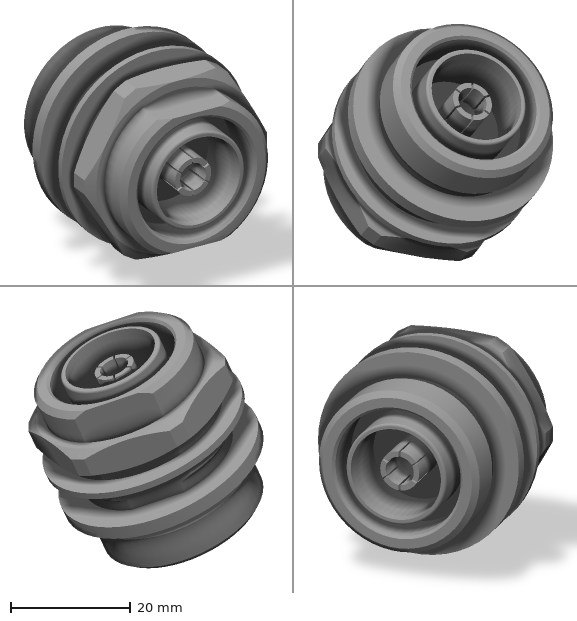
import cadquery as cq
import math


OVERALL_LENGTH = 34.8
TUBE_STICK_OUT = 0.6
SHELL_LENGTH = OVERALL_LENGTH - 2 * TUBE_STICK_OUT
SHELL_FRONT = -SHELL_LENGTH / 2
SHELL_REAR = SHELL_LENGTH / 2

SHELL_RADIUS = 14.4
END_CHAMFER = 1.0
NECK_DEPTH = 0.97
NECK_RADIUS = SHELL_RADIUS - NECK_DEPTH
HEAD_LENGTH = 6.95
NECK_START = SHELL_FRONT + HEAD_LENGTH
FLANGE_RADIUS = 18.0
FLANGE_THICKNESS = 2.45
FLANGE_FRONT = -6.85
FLANGE_REAR = FLANGE_FRONT + FLANGE_THICKNESS
NECK_END = -1.48
FLAT_HEIGHT = 12.55

SOCKET_DEPTH = 7.8
TUBE_BORE_DEPTH = 10.0
SOCKET_RADIUS = 11.25
MOUTH_RADIUS = 11.7
TUBE_RADIUS = 8.95
TUBE_BORE_RADIUS = 8.05
TUBE_ROUNDING = 0.45
PIN_RADIUS = 3.5
PIN_RECESS = 1.8
PIN_BORE_RADIUS = 2.52
PIN_BORE_DEPTH = 5.05
PIN_POINT_RADIUS = 0.15
PIN_CONE_ANGLE = math.radians(59)
SLOT_WIDTH = 0.35
SLOT_COUNT = 6

WASHER_RADIUS = FLANGE_RADIUS
WASHER_THICKNESS = 1.2
WASHER_FRONT = 1.65

NUT_FRONT = 5.4
NUT_THICKNESS = 5.47
NUT_SIDES = 6
NUT_HALF_SECTOR = 180 / NUT_SIDES
NUT_ACROSS_FLATS = 32.0
NUT_CORNER_DISTANCE = 17.7
NUT_CHAMFER_ANGLE = math.radians(30)


def cylinder(radius, start, length):
    """Round bar along X."""
    return cq.Workplane("YZ").workplane(offset=start).circle(radius).extrude(length)


def turned(points):
    """Solid of revolution about X from (x, radius) points."""
    return cq.Workplane("XY").polyline(points).close().revolve(360, (0, 0, 0), (1, 0, 0))


def make_shell():
    """Solid turned shell with flange, neck and the two flats behind the flange."""
    shell = turned([
        (SHELL_FRONT, 0),
        (SHELL_FRONT, SHELL_RADIUS - END_CHAMFER),
        (SHELL_FRONT + END_CHAMFER, SHELL_RADIUS),
        (NECK_START, SHELL_RADIUS),
        (NECK_START + NECK_DEPTH, NECK_RADIUS),
        (FLANGE_FRONT, NECK_RADIUS),
        (FLANGE_FRONT, FLANGE_RADIUS),
        (FLANGE_REAR, FLANGE_RADIUS),
        (FLANGE_REAR, NECK_RADIUS),
        (NECK_END - NECK_DEPTH, NECK_RADIUS),
        (NECK_END, SHELL_RADIUS),
        (SHELL_REAR - END_CHAMFER, SHELL_RADIUS),
        (SHELL_REAR, SHELL_RADIUS - END_CHAMFER),
        (SHELL_REAR, 0),
    ])
    flat_length = SHELL_REAR - FLANGE_REAR
    outside_flats = (
        cq.Workplane("XY")
        .box(flat_length, 2 * SHELL_RADIUS, 2 * SHELL_RADIUS)
        .cut(cq.Workplane("XY").box(flat_length, 2 * SHELL_RADIUS, 2 * FLAT_HEIGHT))
        .translate(((FLANGE_REAR + SHELL_REAR) / 2, 0, 0))
    )
    return shell.cut(outside_flats)


def make_socket_cavity():
    """Front cavity with a conical lead-in at its mouth and a deeper floor inside the tube."""
    lead_in = MOUTH_RADIUS - SOCKET_RADIUS
    floor = SHELL_FRONT + SOCKET_DEPTH
    annulus = turned([
        (SHELL_FRONT, 0),
        (SHELL_FRONT, MOUTH_RADIUS),
        (SHELL_FRONT + lead_in, SOCKET_RADIUS),
        (floor, SOCKET_RADIUS),
        (floor, 0),
    ])
    return annulus.union(cylinder(TUBE_BORE_RADIUS, SHELL_FRONT, TUBE_BORE_DEPTH))


def make_contact_tube():
    """Front outer contact tube, rounded on its outer rim."""
    length = TUBE_STICK_OUT + SOCKET_DEPTH
    tube = cylinder(TUBE_RADIUS, SHELL_FRONT - TUBE_STICK_OUT, length)
    tube = tube.faces("<X").edges().fillet(TUBE_ROUNDING)
    return tube.cut(cylinder(TUBE_BORE_RADIUS, SHELL_FRONT - TUBE_STICK_OUT, length))


def make_contact_pin():
    """Front centre contact: a drilled pin whose wall is split by radial slots."""
    tip = SHELL_FRONT - TUBE_STICK_OUT + PIN_RECESS
    length = SHELL_FRONT + TUBE_BORE_DEPTH - tip
    bore_end = tip + PIN_BORE_DEPTH
    cone_length = (PIN_BORE_RADIUS - PIN_POINT_RADIUS) / math.tan(PIN_CONE_ANGLE)
    bore = turned([
        (tip, 0),
        (tip, PIN_BORE_RADIUS),
        (bore_end, PIN_BORE_RADIUS),
        (bore_end + cone_length, PIN_POINT_RADIUS),
        (bore_end + cone_length, 0),
    ])
    pin = cylinder(PIN_RADIUS, tip, length).cut(bore)
    slot = (
        cq.Workplane("XY")
        .box(PIN_BORE_DEPTH, SLOT_WIDTH, 2 * PIN_RADIUS)
        .translate((tip + PIN_BORE_DEPTH / 2, 0, 0))
    )
    for i in range(SLOT_COUNT // 2):
        pin = pin.cut(slot.rotate((0, 0, 0), (1, 0, 0), i * 360 / SLOT_COUNT))
    return pin


def make_housing():
    """Shell with the same socket, tube and pin at both ends."""
    cavity = make_socket_cavity()
    contacts = [make_contact_tube(), make_contact_pin()]
    housing = make_shell().cut(cavity).cut(cavity.mirror("YZ"))
    for contact in contacts:
        housing = housing.union(contact).union(contact.mirror("YZ"))
    return housing


def make_washer():
    """Flat washer with a round hole that fits the shell."""
    disc = cylinder(WASHER_RADIUS, WASHER_FRONT, WASHER_THICKNESS)
    return disc.cut(cylinder(SHELL_RADIUS, WASHER_FRONT, WASHER_THICKNESS))


def hex_bar(across_flats):
    """Hexagonal bar as long as the nut, with flats at +Z and -Z."""
    across_corners = across_flats / math.cos(math.radians(NUT_HALF_SECTOR))
    return (
        cq.Workplane("YZ")
        .workplane(offset=NUT_FRONT)
        .polygon(NUT_SIDES, across_corners)
        .extrude(NUT_THICKNESS)
    )


def make_nut():
    """Hexagonal nut with flats at +Z and -Z, trimmed corners and both faces chamfered."""
    half_flats = NUT_ACROSS_FLATS / 2
    corner_radius = half_flats / math.cos(math.radians(NUT_HALF_SECTOR))
    corner_trim = hex_bar(2 * NUT_CORNER_DISTANCE).rotate((0, 0, 0), (1, 0, 0), NUT_HALF_SECTOR)
    chamfer_length = (corner_radius - half_flats) * math.tan(NUT_CHAMFER_ANGLE)
    nut_rear = NUT_FRONT + NUT_THICKNESS
    chamfer_envelope = turned([
        (NUT_FRONT, 0),
        (NUT_FRONT, half_flats),
        (NUT_FRONT + chamfer_length, corner_radius),
        (nut_rear - chamfer_length, corner_radius),
        (nut_rear, half_flats),
        (nut_rear, 0),
    ])
    nut = hex_bar(NUT_ACROSS_FLATS).intersect(corner_trim).intersect(chamfer_envelope)
    return nut.cut(cylinder(SHELL_RADIUS, NUT_FRONT, NUT_THICKNESS))


housing = make_housing()
washer = make_washer()
nut = make_nut()

result = cq.Compound.makeCompound([body.solids().val() for body in (housing, washer, nut)])